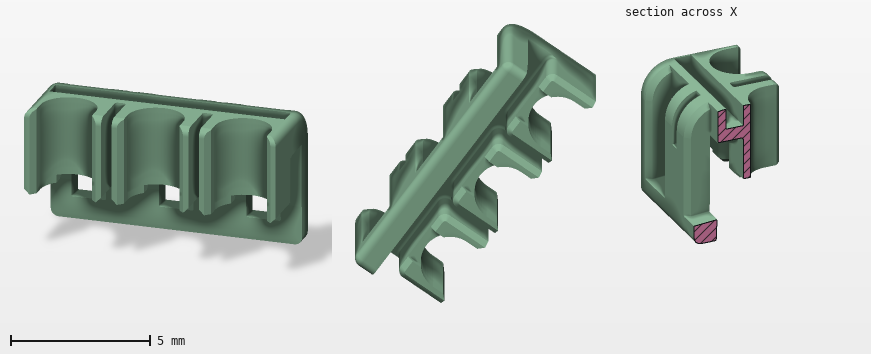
import cadquery as cq

length = 9.5
depth = 3.95
height = 5.2
half_length = length / 2

plate_thickness = 1.3
plate_underside = height - plate_thickness
bend_radius = 1.27
wall_front = 3.0
wall_taper_start = 1.5
wall_taper = 0.06
outer_fillet = 0.3

clip_count = 3
clip_pitch = 3.3
clip_gap = 0.4
clip_width = clip_pitch - clip_gap
clip_depth = 2.0
clip_bottom = 1.95
clip_corner_fillet = 0.3
clip_bottom_chamfer = 0.2
root_fillet = 0.1
root_thickness = 0.3

channel_radius = 1.05
channel_back = 1.7
channel_axis = channel_back - channel_radius
mouth_chamfer = 0.2
notch_width = 1.4
notch_top = 2.25

slot_corner_fillet = 0.1
rear_slot_floor = 3.2

window_width = 1.3
window_floor = 0.85
window_floor_drop = 0.08
window_corner_fillet = 0.05
window_bevel = 0.2

groove_front = clip_depth
groove_back = depth - bend_radius
groove_length = length - 2 * outer_fillet
groove_depth = 0.8

clip_centres = [(i - (clip_count - 1) / 2) * clip_pitch for i in range(clip_count)]
gap_centres = [x + clip_pitch / 2 for x in clip_centres[:-1]]


def box(x_centre, x_size, y_min, y_max, z_min, z_max):
    """Block centred on x_centre and spanning the given Y and Z limits."""
    return (
        cq.Workplane("XY")
        .box(x_size, y_max - y_min, z_max - z_min, centered=(True, False, False))
        .translate((x_centre, y_min, z_min))
    )


def make_body():
    """Plate and rear wall with rounded outer edges."""
    body = (
        cq.Workplane("YZ")
        .moveTo(0, plate_underside)
        .lineTo(wall_front, plate_underside)
        .lineTo(wall_front, wall_taper_start)
        .lineTo(wall_front + wall_taper, 0)
        .lineTo(depth, 0)
        .lineTo(depth, height - bend_radius)
        .radiusArc((depth - bend_radius, height), -bend_radius)
        .lineTo(0, height)
        .close()
        .extrude(half_length, both=True)
    )
    end_edges = body.faces("<X or >X").edges(">Y or >Z or <Z or %CIRCLE")
    top_front_edge = body.faces("<Y").edges(">Z")
    bottom_rear_edge = body.faces("<Z").edges(">Y")
    rounded_edges = end_edges.vals() + top_front_edge.vals() + bottom_rear_edge.vals()
    return body.newObject(rounded_edges).fillet(outer_fillet)


def make_clip(x_centre):
    """Solid clip block with rounded rear corners, a chamfered bottom and a filleted root."""
    clip = box(x_centre, clip_width, 0, clip_depth, clip_bottom, plate_underside)
    clip = clip.edges("|Z and >Y").fillet(clip_corner_fillet)
    clip = clip.faces("<Z").edges("not <Y").chamfer(clip_bottom_chamfer)

    root = box(x_centre, clip_pitch, 0, groove_back, plate_underside, plate_underside + root_thickness)
    clip = clip.union(root)
    root_edges = clip.edges(cq.selectors.BoxSelector(
        (x_centre - clip_width / 2 - root_fillet, root_fillet, plate_underside - root_fillet),
        (x_centre + clip_width / 2 + root_fillet, clip_depth + root_fillet, plate_underside + root_fillet),
    ))
    clip = clip.newObject(root_edges.vals()).fillet(root_fillet)
    return clip.intersect(box(0, length, 0, depth, 0, height))


def make_channel(x_centre):
    """Cutter for one cable channel with a flared mouth and a notch low in its rear."""
    mouth_half = channel_radius + mouth_chamfer
    channel = (
        cq.Workplane("XY")
        .moveTo(-mouth_half, 0)
        .lineTo(-channel_radius, mouth_chamfer)
        .lineTo(-channel_radius, channel_axis)
        .threePointArc((0, channel_back), (channel_radius, channel_axis))
        .lineTo(channel_radius, mouth_chamfer)
        .lineTo(mouth_half, 0)
        .close()
        .extrude(height)
        .translate((x_centre, 0, 0))
    )
    return channel.union(box(x_centre, notch_width, channel_axis, clip_depth, 0, notch_top))


def make_slot(x_centre):
    """Cutter for the front slot between two clips and the rear slot through the bend."""
    front = box(x_centre, clip_gap, 0, channel_back, 0, height)
    front = front.edges("|Z and >Y").fillet(slot_corner_fillet)
    rear = box(x_centre, clip_gap, wall_front, depth, rear_slot_floor, height)
    return front.union(rear)


def cut_window(part, x_centre):
    """Cut one rear window, bevel its outer side edges and round its floor corners."""
    opening = (
        cq.Workplane("YZ", origin=(x_centre, 0, 0))
        .moveTo(wall_front, window_floor)
        .lineTo(depth, window_floor - window_floor_drop)
        .lineTo(depth, height)
        .lineTo(wall_front, height)
        .close()
        .extrude(window_width / 2, both=True)
    )
    part = part.cut(opening)

    side_edges = part.edges(cq.selectors.BoxSelector(
        (x_centre - window_width, wall_front + window_bevel, window_floor + window_bevel),
        (x_centre + window_width, depth + window_bevel, height),
    )).edges("not |X")
    part = part.newObject(side_edges.vals()).chamfer(window_bevel)

    corner_edges = part.edges(cq.selectors.BoxSelector(
        (x_centre - window_width, wall_front, window_floor - window_bevel),
        (x_centre + window_width, depth, window_floor + window_corner_fillet),
    )).edges("not |X")
    return part.newObject(corner_edges.vals()).fillet(window_corner_fillet)


result = make_body()
for x in clip_centres:
    result = cut_window(result, x)
    result = result.union(make_clip(x))
result = result.cut(box(0, groove_length, groove_front, groove_back, height - groove_depth, height))
for x in clip_centres:
    result = result.cut(make_channel(x))
for x in gap_centres:
    result = result.cut(make_slot(x))